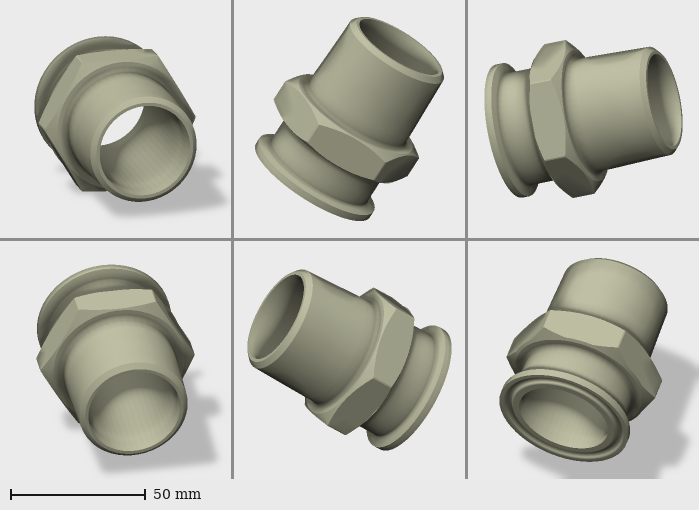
import cadquery as cq
import math

length = 61.9
bore_diameter = 34.8
tube_radius = 21.25

flange_radius = 25.2
rim_width = 2.8
flange_back_angle = 20.0
flange_root_fillet = 0.75

groove_center_radius = 21.75
groove_half_width = 2.05
groove_wall_outer = 1.35
groove_wall_inner = 1.2
groove_wall_angle = 65.0

hex_start = 17.35
hex_width = 13.3
hex_end = hex_start + hex_width
across_flats = 50.65
corner_diameter = 58.15
corner_radius = corner_diameter / 2
collar_radius = 25.9
chamfer_face_radius = 24.8
chamfer_angle = 30.0
hex_root_fillet = 1.5

taper_start = 36.2
taper_ratio = 1 / 16
end_chamfer = 1.85


def sind(angle):
    return math.sin(math.radians(angle))


def cosd(angle):
    return math.cos(math.radians(angle))


def tand(angle):
    return math.tan(math.radians(angle))


def revolve_about_x(profile):
    """Close a profile of (X, radius) points and turn it about the X axis."""
    return profile.close().revolve(360, (0, 0, 0), (1, 0, 0))


def turned_body():
    """Flange, tube and tapered pipe end, solid through the middle."""
    root_x = rim_width + (flange_radius - tube_radius) * tand(flange_back_angle)
    blend_angle = 90 - flange_back_angle
    root_tangent = flange_root_fillet * tand(blend_angle / 2)
    blend_start = (
        root_x - root_tangent * sind(flange_back_angle),
        tube_radius + root_tangent * cosd(flange_back_angle),
    )
    blend_center = (root_x + root_tangent, tube_radius + flange_root_fillet)
    blend_middle = (
        blend_center[0] - flange_root_fillet * sind(blend_angle / 2),
        blend_center[1] - flange_root_fillet * cosd(blend_angle / 2),
    )
    taper_end = length - end_chamfer
    taper_end_radius = tube_radius - (taper_end - taper_start) * taper_ratio / 2
    return revolve_about_x(
        cq.Workplane("XY")
        .moveTo(0, 0)
        .lineTo(0, flange_radius)
        .lineTo(rim_width, flange_radius)
        .lineTo(*blend_start)
        .threePointArc(blend_middle, (root_x + root_tangent, tube_radius))
        .lineTo(taper_start, tube_radius)
        .lineTo(taper_end, taper_end_radius)
        .lineTo(length, taper_end_radius - end_chamfer)
        .lineTo(length, 0)
    )


def hex_section():
    """Hexagon chamfered at both ends, with a round collar on the flange side."""
    chamfer_length = (corner_radius - chamfer_face_radius) * tand(chamfer_angle)
    collar_width = (collar_radius - chamfer_face_radius) * tand(chamfer_angle)
    flats_start = hex_start + collar_width
    chamfered_blank = revolve_about_x(
        cq.Workplane("XY")
        .moveTo(hex_start, 0)
        .lineTo(hex_start, chamfer_face_radius)
        .lineTo(hex_start + chamfer_length, corner_radius)
        .lineTo(hex_end - chamfer_length, corner_radius)
        .lineTo(hex_end, chamfer_face_radius)
        .lineTo(hex_end, 0)
    )
    flats = (
        cq.Workplane("YZ", origin=(flats_start, 0, 0))
        .polygon(6, across_flats / cosd(30))
        .extrude(hex_end - flats_start)
    )
    collar = cq.Workplane("YZ", origin=(hex_start, 0, 0)).circle(collar_radius).extrude(collar_width)
    return flats.union(collar).intersect(chamfered_blank)


def hex_root(face_x, direction):
    """Concave blend ring between the tube and a hexagon end face."""
    far_x = face_x + direction * hex_root_fillet
    top_radius = tube_radius + hex_root_fillet
    arc_offset = hex_root_fillet * cosd(45)
    return revolve_about_x(
        cq.Workplane("XY")
        .moveTo(face_x, 0)
        .lineTo(face_x, top_radius)
        .threePointArc((far_x - direction * arc_offset, top_radius - arc_offset), (far_x, tube_radius))
        .lineTo(far_x, 0)
    )


def gasket_groove():
    """Ring to cut from the flange face, with every arc tangent to its neighbours."""
    bottom_radius = groove_wall_inner / sind(groove_wall_angle)
    lip_radius = (groove_half_width - groove_wall_outer) / sind(groove_wall_angle)
    lip_middle_depth = lip_radius * (1 - cosd(groove_wall_angle / 2))
    lip_middle_offset = groove_half_width - lip_radius * sind(groove_wall_angle / 2)
    wall_top_depth = lip_radius * (1 - cosd(groove_wall_angle))
    wall_bottom_depth = wall_top_depth + (groove_wall_outer - groove_wall_inner) * tand(groove_wall_angle)
    groove_depth = wall_bottom_depth + bottom_radius * (1 - cosd(groove_wall_angle))

    def groove_point(depth, offset):
        return (depth, groove_center_radius + offset)

    return revolve_about_x(
        cq.Workplane("XY")
        .moveTo(*groove_point(0, -groove_half_width))
        .threePointArc(
            groove_point(lip_middle_depth, -lip_middle_offset),
            groove_point(wall_top_depth, -groove_wall_outer),
        )
        .lineTo(*groove_point(wall_bottom_depth, -groove_wall_inner))
        .threePointArc(
            groove_point(groove_depth, 0),
            groove_point(wall_bottom_depth, groove_wall_inner),
        )
        .lineTo(*groove_point(wall_top_depth, groove_wall_outer))
        .threePointArc(
            groove_point(lip_middle_depth, lip_middle_offset),
            groove_point(0, groove_half_width),
        )
    )


bore = cq.Workplane("YZ").circle(bore_diameter / 2).extrude(length)

result = (
    turned_body()
    .union(hex_section())
    .union(hex_root(hex_start, -1))
    .union(hex_root(hex_end, 1))
    .cut(gasket_groove())
    .cut(bore)
)